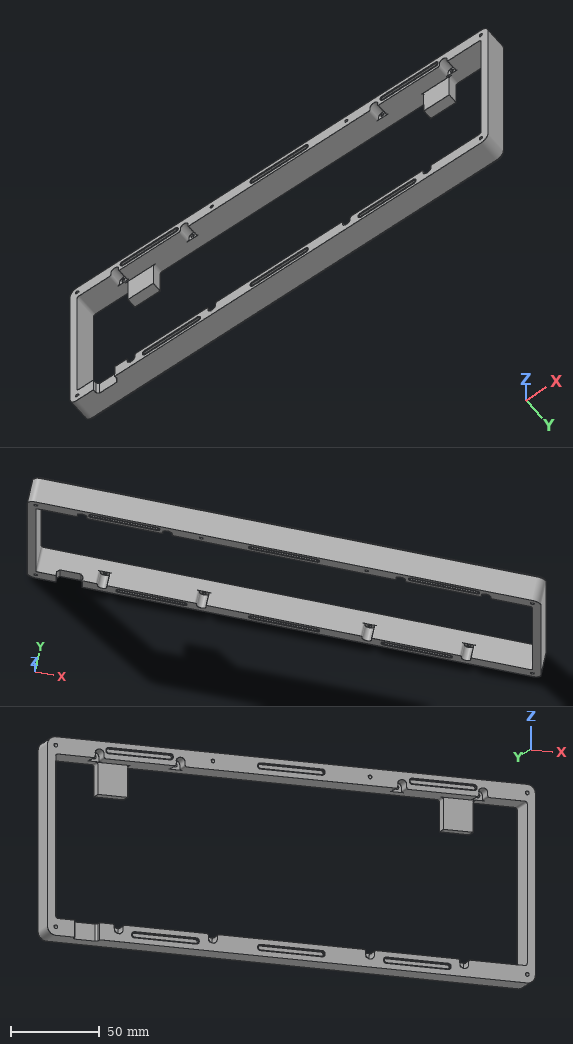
import cadquery as cq
LENGTH = 296.2
DEPTH = 15.5
HEIGHT = 115.8
SIDE_WALL = 5.0
RAIL = 10.0
CORNER_RADIUS = 5.0
WINDOW_CORNER_RADIUS = 1.5
BACK_CHAMFER = 1.0

FRONT = -DEPTH / 2
BACK = DEPTH / 2
TOP = HEIGHT / 2
WINDOW_HALF_LENGTH = LENGTH / 2 - SIDE_WALL
WINDOW_HALF_HEIGHT = TOP - RAIL

HOLE_DIAMETER = 2.0
HOLE_DEPTH = 7.7
HOLE_EDGE_DISTANCE = 5.0
CORNER_HOLE_X = LENGTH / 2 - HOLE_EDGE_DISTANCE
MIDDLE_HOLE_X = CORNER_HOLE_X / 3
HOLE_Z = TOP - HOLE_EDGE_DISTANCE

SLOT_LENGTH = 41.0
SLOT_HEIGHT = 3.5
SLOT_DEPTH = 2.0
SLOT_MOUTH_STEP = 0.45
SLOT_Z = TOP - 5.0
UPPER_SLOT_X = 92.0
LOWER_SLOT_X = 76.5

RECESS_RADIUS = 2.7
RECESS_DEPTH = 8.0
RECESS_MOUTH_RADIUS = 1.2
RECESS_HOLE_DEPTH = 3.9
UPPER_RECESS_X = (67.2, 116.5)
LOWER_RECESS_X = (MIDDLE_HOLE_X, 105.0)

TAB_X = 105.0
TAB_WIDTH = 18.0
TAB_DROP = 18.7
TAB_THICKNESS = 6.5
TAB_ROOT_RADIUS = 1.5

NOTCH_LEFT = -131.5
NOTCH_WIDTH = 15.0
NOTCH_DEPTH = 3.9
NOTCH_CHAMFER = 1.5


def mirrored(offsets):
    """Return every offset on both sides of the middle."""
    return [side * offset for offset in offsets for side in (-1, 1)]


def plane_at(y):
    """Sketch plane at depth y: local x is X, local y is Z, extrusion runs towards -Y."""
    return cq.Workplane("XZ", origin=(0, y, 0))


def make_frame():
    outer = plane_at(BACK).rect(LENGTH, HEIGHT).extrude(DEPTH)
    outer = outer.edges("|Y").fillet(CORNER_RADIUS)
    outer = outer.faces(">Y").edges().chamfer(BACK_CHAMFER)
    window = plane_at(BACK).rect(2 * WINDOW_HALF_LENGTH, 2 * WINDOW_HALF_HEIGHT).extrude(DEPTH)
    window = window.edges("|Y").fillet(WINDOW_CORNER_RADIUS)
    return outer.cut(window)


def make_tab(x):
    """Tab whose sides flare into the upper rail through small root fillets."""
    half = TAB_WIDTH / 2
    root = WINDOW_HALF_HEIGHT
    flare = TAB_ROOT_RADIUS
    return (
        plane_at(BACK)
        .moveTo(x - half, root - TAB_DROP)
        .lineTo(x + half, root - TAB_DROP)
        .lineTo(x + half, root - flare)
        .radiusArc((x + half + flare, root), flare)
        .lineTo(x - half - flare, root)
        .radiusArc((x - half, root - flare), flare)
        .close()
        .extrude(TAB_THICKNESS)
    )


def make_slots():
    places = [(x, SLOT_Z) for x in (-UPPER_SLOT_X, 0, UPPER_SLOT_X)]
    places += [(x, -SLOT_Z) for x in (-LOWER_SLOT_X, 0, LOWER_SLOT_X)]
    inner_length = SLOT_LENGTH - 2 * SLOT_MOUTH_STEP
    inner_height = SLOT_HEIGHT - 2 * SLOT_MOUTH_STEP
    inner = plane_at(FRONT + SLOT_DEPTH).pushPoints(places)
    inner = inner.slot2D(inner_length, inner_height).extrude(SLOT_DEPTH)
    mouth = plane_at(FRONT + SLOT_MOUTH_STEP).pushPoints(places)
    mouth = mouth.slot2D(SLOT_LENGTH, SLOT_HEIGHT).extrude(SLOT_MOUTH_STEP)
    return inner.union(mouth)


def make_front_holes():
    places = [(x, HOLE_Z) for x in mirrored((CORNER_HOLE_X, MIDDLE_HOLE_X))]
    places += [(x, -HOLE_Z) for x in mirrored((CORNER_HOLE_X,))]
    return plane_at(FRONT + HOLE_DEPTH).pushPoints(places).circle(HOLE_DIAMETER / 2).extrude(HOLE_DEPTH)


def make_recess(x, side):
    """Arch cut into the upper (side=1) or lower (side=-1) rail, with a screw hole in its floor."""
    mouth = side * WINDOW_HALF_HEIGHT
    centre = mouth + side * RECESS_RADIUS
    flare = RECESS_MOUTH_RADIUS
    wall = mouth + side * flare
    arch = (
        plane_at(FRONT + RECESS_DEPTH)
        .moveTo(x - RECESS_RADIUS - flare, mouth)
        .radiusArc((x - RECESS_RADIUS, wall), -side * flare)
        .lineTo(x - RECESS_RADIUS, centre)
        .threePointArc((x, centre + side * RECESS_RADIUS), (x + RECESS_RADIUS, centre))
        .lineTo(x + RECESS_RADIUS, wall)
        .radiusArc((x + RECESS_RADIUS + flare, mouth), -side * flare)
        .close()
        .extrude(RECESS_DEPTH)
    )
    hole_length = RECESS_DEPTH + RECESS_HOLE_DEPTH
    hole = plane_at(FRONT + hole_length).center(x, centre).circle(HOLE_DIAMETER / 2).extrude(hole_length)
    return arch.union(hole)


def make_notch():
    notch = cq.Workplane("XY").box(NOTCH_WIDTH, NOTCH_DEPTH, RAIL, centered=False)
    notch = notch.edges("|Z and >Y").chamfer(NOTCH_CHAMFER)
    return notch.translate((NOTCH_LEFT, FRONT, -TOP))


result = make_frame()
for tab_x in mirrored((TAB_X,)):
    result = result.union(make_tab(tab_x))
result = result.cut(make_slots()).cut(make_front_holes()).cut(make_notch())
for recess_x in mirrored(UPPER_RECESS_X):
    result = result.cut(make_recess(recess_x, 1))
for recess_x in mirrored(LOWER_RECESS_X):
    result = result.cut(make_recess(recess_x, -1))